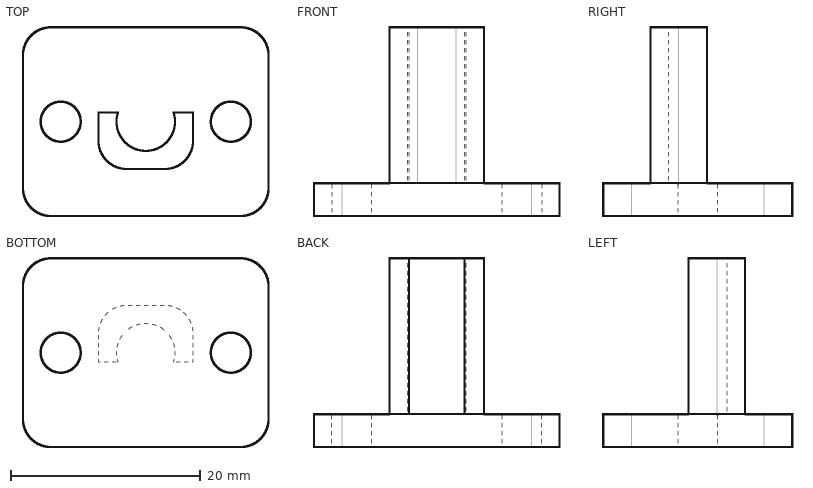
import cadquery as cq

base_length = 26.0
base_width = 20.0
base_thickness = 3.5
corner_radius = 3.0

hole_diameter = 4.2
hole_spacing = 18.0

total_height = 20.0
post_width = 10.0
post_front = -post_width / 2
post_back = 1.0
post_depth = post_back - post_front
post_height = total_height - base_thickness
bore_diameter = 6.2


def make_base():
    """Rounded plate resting on Z = 0, with a mounting hole on each side of the post."""
    plate = cq.Workplane("XY").rect(base_length, base_width).extrude(base_thickness)
    plate = plate.edges("|Z").fillet(corner_radius)
    hole_centers = [(-hole_spacing / 2, 0), (hole_spacing / 2, 0)]
    holes = cq.Workplane("XY").pushPoints(hole_centers).circle(hole_diameter / 2).extrude(base_thickness)
    return plate.cut(holes)


def make_post():
    """Post with rounded front corners, bored from its top down to the plate."""
    plate_top = cq.Workplane("XY").workplane(offset=base_thickness)
    block = (
        plate_top.center(0, (post_front + post_back) / 2)
        .rect(post_width, post_depth)
        .extrude(post_height)
    )
    block = block.edges("|Z and <Y").fillet(corner_radius)
    bore = (
        cq.Workplane("XY").workplane(offset=base_thickness)
        .circle(bore_diameter / 2)
        .extrude(post_height)
    )
    return block.cut(bore)


result = make_base().union(make_post())